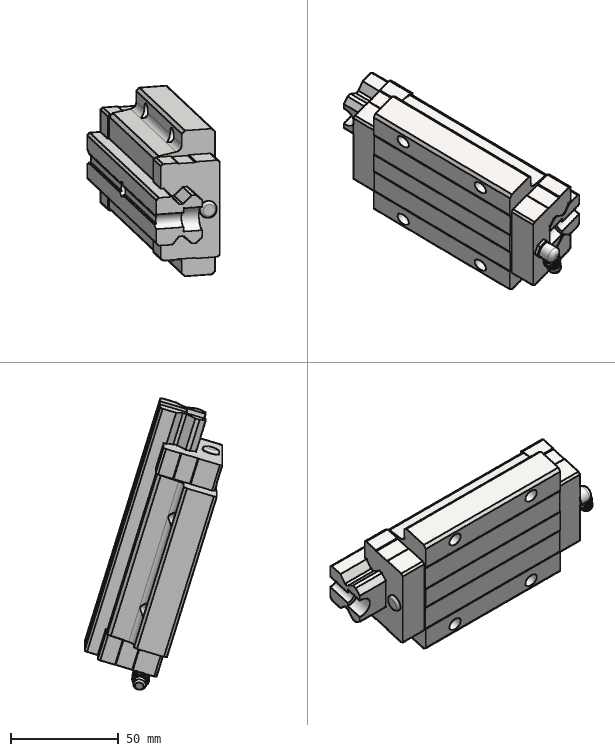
import cadquery as cq
import math

OVERALL_HEIGHT = 36.0

RAIL_LENGTH = 120.5
RAIL_HEIGHT = 22.1
RAIL_HALF_WIDTH = 11.5
RAIL_CHAMFER = 1.2
RAIL_WAIST_HALF_WIDTH = 7.7
RAIL_FLANK_LOW_Y = 7.7
RAIL_WAIST_LOW_Y = 11.0
RAIL_WAIST_HIGH_Y = 12.75
RAIL_FLANK_HIGH_Y = 17.0
RAIL_SHOULDER_Y = 19.1
RAIL_TOP_HALF_WIDTH = 8.8
BASE_GROOVE_DEPTH = 0.8
BASE_GROOVE_MOUTH_HALF_WIDTH = 2.2
BASE_GROOVE_FLOOR_HALF_WIDTH = 1.8
RAIL_HOLE_DIAMETER = 7.0
RAIL_COUNTERBORE_DIAMETER = 11.2
RAIL_COUNTERBORE_DEPTH = 9.0
RAIL_HOLE_PITCH = 60.0
RAIL_HOLE_COUNT = 3
RAIL_FIRST_HOLE_X = 0.1

CARRIAGE_CENTRE_X = 52.7
BLOCK_LENGTH = 79.5
BLOCK_HALF_WIDTH = 35.0
BLOCK_BOTTOM_Y = 7.1
BLOCK_BOTTOM_HALF_WIDTH = 22.0
BLOCK_BOTTOM_CHAMFER = 1.7
FLANGE_THICKNESS = 16.0
FLANGE_CHAMFER = 1.5
FLANGE_FILLET = 3.2
SKIRT_CORNER_Z = 25.5
TOP_RECESS_DEPTH = 0.3
TOP_RECESS_INNER_Z = 6.25
TOP_RECESS_OUTER_Z = 20.5
MOUNT_HOLE_DIAMETER = 6.65
MOUNT_HOLE_SPACING_X = 45.0
MOUNT_HOLE_SPACING_Z = 57.0

CAPPED_LENGTH = 104.8
CAP_TOP_Y = 34.8
CAP_BOTTOM_Y = 6.3
CAP_HALF_WIDTH = 23.2
CAP_CHAMFER_Y = 1.2
CAP_CHAMFER_Z = 0.9
CAP_WAIST_HIGH_Y = 23.3
CAP_WAIST_LOW_Y = 14.6
CAP_WAIST_DEPTH = 0.3
CAP_WAIST_RAMP = 0.4

PORT_Y = 29.1
NIPPLE_HEX_ACROSS_FLATS = 8.0
NIPPLE_HEX_LENGTH = 1.6
NIPPLE_COLLAR_LENGTH = 0.4
NIPPLE_ELBOW_DIAMETER = 7.85
NIPPLE_ELBOW_LENGTH = 9.2
NIPPLE_ELBOW_ROUND = 2.4
NIPPLE_TILT = 22.5
NIPPLE_SPOUT_X = -4.4
SPOUT_NECK_DIAMETER = 5.5
SPOUT_STEM_DIAMETER = 6.6
SPOUT_DISC_DIAMETER = 8.0
SPOUT_TIP_DIAMETER = 4.0
SPOUT_DISC_START = 3.85
SPOUT_DISC_THICKNESS = 2.25
SPOUT_DISC_BEVEL = 0.5
SPOUT_HEAD_START = 7.5
SPOUT_HEAD_LENGTH = 3.6
SPOUT_HEAD_LIP_BEVEL = 0.4
SPOUT_HEAD_TAPER_LENGTH = 2.4
SPOUT_HEAD_SHOULDER_DIAMETER = 5.8
PLUG_DIAMETER = 8.0
PLUG_HEIGHT = 1.7
PLUG_ROUND = 1.2

BLOCK_START_X = CARRIAGE_CENTRE_X - BLOCK_LENGTH / 2
CAPS_START_X = CARRIAGE_CENTRE_X - CAPPED_LENGTH / 2
CAPS_END_X = CARRIAGE_CENTRE_X + CAPPED_LENGTH / 2
CAP_LENGTH = (CAPPED_LENGTH - BLOCK_LENGTH) / 2


def section_prism(half_outline, start_x, length):
    """Mirror a half outline of (y, z) points about Z = 0 and extrude it along +X."""
    outline = half_outline + [(y, -z) for y, z in reversed(half_outline)]
    return cq.Workplane("YZ", origin=(start_x, 0, 0)).polyline(outline).close().extrude(length)


def rail_section(start_x, length):
    """Plain rail section, with its two pairs of ball track flanks."""
    return section_prism(
        [
            (0, RAIL_HALF_WIDTH - RAIL_CHAMFER),
            (RAIL_CHAMFER, RAIL_HALF_WIDTH),
            (RAIL_FLANK_LOW_Y, RAIL_HALF_WIDTH),
            (RAIL_WAIST_LOW_Y, RAIL_WAIST_HALF_WIDTH),
            (RAIL_WAIST_HIGH_Y, RAIL_WAIST_HALF_WIDTH),
            (RAIL_FLANK_HIGH_Y, RAIL_HALF_WIDTH),
            (RAIL_SHOULDER_Y, RAIL_HALF_WIDTH),
            (RAIL_HEIGHT, RAIL_TOP_HALF_WIDTH),
        ],
        start_x,
        length,
    )


def hole_along_y(diameter, x, z, start_y, length):
    """Cylinder that rises along +Y from start_y."""
    return cq.Workplane(
        cq.Solid.makeCylinder(diameter / 2, length, cq.Vector(x, start_y, z), cq.Vector(0, 1, 0))
    )


def make_rail():
    rail = rail_section(0, RAIL_LENGTH)
    rail = rail.cut(
        section_prism(
            [(0, BASE_GROOVE_MOUTH_HALF_WIDTH), (BASE_GROOVE_DEPTH, BASE_GROOVE_FLOOR_HALF_WIDTH)],
            0,
            RAIL_LENGTH,
        )
    )
    counterbore_y = RAIL_HEIGHT - RAIL_COUNTERBORE_DEPTH
    for index in range(RAIL_HOLE_COUNT):
        x = RAIL_FIRST_HOLE_X + index * RAIL_HOLE_PITCH
        rail = rail.cut(hole_along_y(RAIL_HOLE_DIAMETER, x, 0, 0, RAIL_HEIGHT))
        rail = rail.cut(
            hole_along_y(RAIL_COUNTERBORE_DIAMETER, x, 0, counterbore_y, RAIL_COUNTERBORE_DEPTH)
        )
    return rail


def make_block():
    """Flanged block with its skirts, mounting face recesses and mounting holes."""
    flange_y = OVERALL_HEIGHT - FLANGE_THICKNESS
    recess_y = OVERALL_HEIGHT - TOP_RECESS_DEPTH
    skirt_chamfer_top_z = BLOCK_BOTTOM_HALF_WIDTH + BLOCK_BOTTOM_CHAMFER
    block = section_prism(
        [
            (BLOCK_BOTTOM_Y, BLOCK_BOTTOM_HALF_WIDTH),
            (BLOCK_BOTTOM_Y + BLOCK_BOTTOM_CHAMFER, skirt_chamfer_top_z),
            (flange_y, SKIRT_CORNER_Z),
            (flange_y, BLOCK_HALF_WIDTH - FLANGE_CHAMFER),
            (flange_y + FLANGE_CHAMFER, BLOCK_HALF_WIDTH),
            (OVERALL_HEIGHT - FLANGE_CHAMFER, BLOCK_HALF_WIDTH),
            (OVERALL_HEIGHT, BLOCK_HALF_WIDTH - FLANGE_CHAMFER),
            (OVERALL_HEIGHT, TOP_RECESS_OUTER_Z),
            (recess_y, TOP_RECESS_OUTER_Z),
            (recess_y, TOP_RECESS_INNER_Z),
            (OVERALL_HEIGHT, TOP_RECESS_INNER_Z),
        ],
        BLOCK_START_X,
        BLOCK_LENGTH,
    )
    for side in (-1, 1):
        corner = cq.selectors.NearestToPointSelector(
            (CARRIAGE_CENTRE_X, flange_y, side * SKIRT_CORNER_Z)
        )
        block = block.edges("|X").edges(corner).fillet(FLANGE_FILLET)
    for side_x in (-1, 1):
        for side_z in (-1, 1):
            x = CARRIAGE_CENTRE_X + side_x * MOUNT_HOLE_SPACING_X / 2
            z = side_z * MOUNT_HOLE_SPACING_Z / 2
            block = block.cut(hole_along_y(MOUNT_HOLE_DIAMETER, x, z, 0, OVERALL_HEIGHT))
    return block


def make_end_cap(start_x):
    """End cap with a shallow waist along each side."""
    waist_half_width = CAP_HALF_WIDTH - CAP_WAIST_DEPTH
    chamfer_half_width = CAP_HALF_WIDTH - CAP_CHAMFER_Z
    return section_prism(
        [
            (CAP_BOTTOM_Y, chamfer_half_width),
            (CAP_BOTTOM_Y + CAP_CHAMFER_Y, CAP_HALF_WIDTH),
            (CAP_WAIST_LOW_Y, CAP_HALF_WIDTH),
            (CAP_WAIST_LOW_Y + CAP_WAIST_RAMP, waist_half_width),
            (CAP_WAIST_HIGH_Y - CAP_WAIST_RAMP, waist_half_width),
            (CAP_WAIST_HIGH_Y, CAP_HALF_WIDTH),
            (CAP_TOP_Y - CAP_CHAMFER_Y, CAP_HALF_WIDTH),
            (CAP_TOP_Y, chamfer_half_width),
        ],
        start_x,
        CAP_LENGTH,
    )


def make_nipple():
    """Angled grease nipple: hexagon, domed elbow and a spout tilted away from -Z towards -X."""
    hex_across_corners = NIPPLE_HEX_ACROSS_FLATS / math.cos(math.pi / 6)
    face = cq.Workplane("YZ", origin=(CAPS_START_X, PORT_Y, 0))
    hexagon = face.polygon(6, hex_across_corners).extrude(-NIPPLE_HEX_LENGTH)
    collar = (
        face.workplane(offset=-NIPPLE_HEX_LENGTH)
        .circle(NIPPLE_HEX_ACROSS_FLATS / 2)
        .extrude(-NIPPLE_COLLAR_LENGTH)
    )
    elbow = (
        face.circle(NIPPLE_ELBOW_DIAMETER / 2)
        .extrude(-NIPPLE_ELBOW_LENGTH)
        .faces("<X")
        .edges()
        .fillet(NIPPLE_ELBOW_ROUND)
    )
    return hexagon.union(collar).union(elbow).union(make_spout())


def make_spout():
    """Turned spout; its profile is (radius, distance along the tilted axis)."""
    disc_end = SPOUT_DISC_START + SPOUT_DISC_THICKNESS
    stem_radius = SPOUT_STEM_DIAMETER / 2
    neck_radius = SPOUT_NECK_DIAMETER / 2
    disc_radius = SPOUT_DISC_DIAMETER / 2
    profile = [
        (0, 0),
        (stem_radius, 0),
        (stem_radius, SPOUT_DISC_START),
        (disc_radius, SPOUT_DISC_START + SPOUT_DISC_BEVEL),
        (disc_radius, disc_end - SPOUT_DISC_BEVEL),
        (stem_radius, disc_end),
        (neck_radius, disc_end),
        (neck_radius, SPOUT_HEAD_START),
        (stem_radius, SPOUT_HEAD_START + SPOUT_HEAD_LIP_BEVEL),
        (SPOUT_HEAD_SHOULDER_DIAMETER / 2, SPOUT_HEAD_START + SPOUT_HEAD_TAPER_LENGTH),
        (SPOUT_TIP_DIAMETER / 2, SPOUT_HEAD_START + SPOUT_HEAD_LENGTH),
        (0, SPOUT_HEAD_START + SPOUT_HEAD_LENGTH),
    ]
    tilt = math.radians(NIPPLE_TILT)
    plane = cq.Plane(
        origin=(NIPPLE_SPOUT_X, PORT_Y, 0),
        xDir=(math.cos(tilt), 0, -math.sin(tilt)),
        normal=(0, 1, 0),
    )
    return cq.Workplane(plane).polyline(profile).close().revolve(360, (0, 0, 0), (0, 1, 0))


def make_plug():
    """Round-edged plug that closes the grease port of the far end cap."""
    return (
        cq.Workplane("YZ", origin=(CAPS_END_X, PORT_Y, 0))
        .circle(PLUG_DIAMETER / 2)
        .extrude(PLUG_HEIGHT)
        .faces(">X")
        .edges()
        .fillet(PLUG_ROUND)
    )


def make_carriage():
    carriage = make_block()
    carriage = carriage.union(make_end_cap(CAPS_START_X))
    carriage = carriage.union(make_end_cap(CAPS_END_X - CAP_LENGTH))
    carriage = carriage.cut(rail_section(CAPS_START_X, CAPPED_LENGTH))
    return carriage.union(make_nipple()).union(make_plug())


rail = make_rail()
carriage = make_carriage()

result = cq.Compound.makeCompound([rail.solids().val(), carriage.solids().val()])